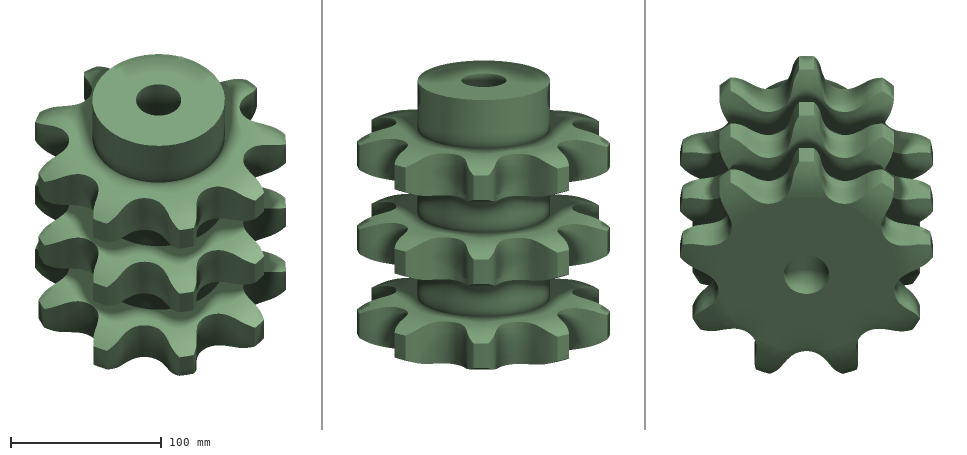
import cadquery as cq
import math


TEETH = 9
CHAIN_PITCH = 50.8
ROLLER_DIAMETER = 29.2
OUTER_DIAMETER = 169.0
ROWS = 3
ROW_SPACING = 58.5
TOOTH_WIDTH = 29.2

FACE_DIAMETER = 121.0
SIDE_RADIUS = CHAIN_PITCH

HUB_DIAMETER = 88.0
BORE_DIAMETER = 30.0
HEIGHT = 180.0

HALF_STEP = math.pi / TEETH
PITCH_RADIUS = CHAIN_PITCH / (2 * math.sin(HALF_STEP))
OUTER_RADIUS = OUTER_DIAMETER / 2
CUTTER_MARGIN = 1.8

SEAT_RADIUS = 0.5025 * ROLLER_DIAMETER
WORKING_OFFSET = 0.8 * ROLLER_DIAMETER
WORKING_RADIUS = SEAT_RADIUS + WORKING_OFFSET
TIP_OFFSET = 1.4 * ROLLER_DIAMETER
SEAT_ANGLE = math.radians(35 + 60 / TEETH)
WORKING_SWEEP = math.radians(18 - 56 / TEETH)


def polar(center, radius, angle):
    """Point at a distance and angle from a centre."""
    return (center[0] + radius * math.cos(angle), center[1] + radius * math.sin(angle))


def flank_points():
    """Points of the right flank of the gap centred on +Y, from the root outwards."""
    seat_center = (0, PITCH_RADIUS)
    seat_end = polar(seat_center, SEAT_RADIUS, -SEAT_ANGLE)
    seat_bottom = (0, PITCH_RADIUS - SEAT_RADIUS)

    working_center = polar(seat_center, WORKING_OFFSET, math.pi - SEAT_ANGLE)
    normal_angle = WORKING_SWEEP - SEAT_ANGLE
    working_mid = polar(working_center, WORKING_RADIUS, normal_angle - WORKING_SWEEP / 2)
    working_end = polar(working_center, WORKING_RADIUS, normal_angle)

    tip_center = polar(seat_center, TIP_OFFSET, -HALF_STEP)
    along_normal = math.cos(normal_angle)
    across_normal = math.sin(normal_angle)
    tip_radius = (
        (tip_center[0] - working_end[0]) * along_normal
        + (tip_center[1] - working_end[1]) * across_normal
    )
    tip_start = polar(tip_center, -tip_radius, normal_angle)

    reach = OUTER_RADIUS + CUTTER_MARGIN
    center_distance = math.hypot(*tip_center)
    center_angle = math.atan2(tip_center[1], tip_center[0])
    cosine = (reach**2 + center_distance**2 - tip_radius**2) / (2 * reach * center_distance)
    tip_end = polar((0, 0), reach, center_angle + math.acos(cosine))
    start_angle = normal_angle + math.pi
    end_angle = math.atan2(tip_end[1] - tip_center[1], tip_end[0] - tip_center[0])
    tip_mid = polar(tip_center, tip_radius, (start_angle + end_angle) / 2)
    return seat_bottom, seat_end, working_mid, working_end, tip_start, tip_mid, tip_end


def mirrored(point):
    return (-point[0], point[1])


def tooth_gap():
    """Cutter for one gap between two teeth."""
    bottom, seat_end, working_mid, working_end, tip_start, tip_mid, tip_end = flank_points()
    return (
        cq.Workplane("XY")
        .moveTo(*mirrored(seat_end))
        .threePointArc(bottom, seat_end)
        .threePointArc(working_mid, working_end)
        .lineTo(*tip_start)
        .threePointArc(tip_mid, tip_end)
        .threePointArc((0, math.hypot(*tip_end)), mirrored(tip_end))
        .threePointArc(mirrored(tip_mid), mirrored(tip_start))
        .lineTo(*mirrored(working_end))
        .threePointArc(mirrored(working_mid), mirrored(seat_end))
        .close()
        .extrude(TOOTH_WIDTH)
    )


def toothed_disc():
    """One row of teeth, standing on Z = 0."""
    face_radius = FACE_DIAMETER / 2

    def side_drop(radius):
        return SIDE_RADIUS - math.sqrt(SIDE_RADIUS**2 - (radius - face_radius) ** 2)

    mid_radius = (face_radius + OUTER_RADIUS) / 2
    mid_drop = side_drop(mid_radius)
    tip_drop = side_drop(OUTER_RADIUS)
    disc = (
        cq.Workplane("XZ")
        .lineTo(face_radius, 0)
        .threePointArc((mid_radius, mid_drop), (OUTER_RADIUS, tip_drop))
        .lineTo(OUTER_RADIUS, TOOTH_WIDTH - tip_drop)
        .threePointArc((mid_radius, TOOTH_WIDTH - mid_drop), (face_radius, TOOTH_WIDTH))
        .lineTo(0, TOOTH_WIDTH)
        .close()
        .revolve(360, (0, 0), (0, 1))
    )
    gap = tooth_gap()
    for index in range(TEETH):
        disc = disc.cut(gap.rotate((0, 0, 0), (0, 0, 1), index * 360 / TEETH))
    return disc


result = cq.Workplane("XY").circle(HUB_DIAMETER / 2).extrude(HEIGHT)
disc = toothed_disc()
for row in range(ROWS):
    result = result.union(disc.translate((0, 0, row * ROW_SPACING)))

bore = cq.Workplane("XY").circle(BORE_DIAMETER / 2).extrude(HEIGHT)
result = result.cut(bore)